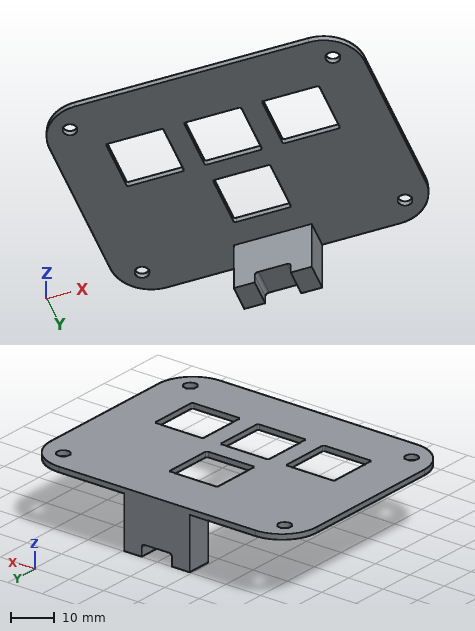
import cadquery as cq

plate_length = 77.15
plate_width = 60.1
plate_thickness = 1.5
plate_corner_radius = 10.0

hole_diameter = 3.4
hole_spacing_x = 64.3
hole_spacing_y = 47.3

window_size = 14.0
window_corner_radius = 0.5
window_pitch = 19.05
lower_row_y = -window_pitch / 2
upper_row_y = window_pitch / 2

total_height = 16.0
block_width = window_pitch
block_depth = 6.95
block_height = total_height - plate_thickness
block_center_y = (plate_width - block_depth) / 2

notch_width = 8.8
notch_height = 3.25
notch_corner_radius = 0.9


def make_plate():
    return (
        cq.Workplane("XY")
        .rect(plate_length, plate_width)
        .extrude(plate_thickness)
        .edges("|Z")
        .fillet(plate_corner_radius)
    )


def make_hole_cutters():
    return (
        cq.Workplane("XY")
        .rect(hole_spacing_x, hole_spacing_y, forConstruction=True)
        .vertices()
        .circle(hole_diameter / 2)
        .extrude(plate_thickness)
    )


def make_window_cutters():
    centers = [(column * window_pitch, lower_row_y) for column in (-1, 0, 1)]
    centers.append((0, upper_row_y))
    return (
        cq.Workplane("XY")
        .pushPoints(centers)
        .rect(window_size, window_size)
        .extrude(plate_thickness)
        .edges("|Z")
        .fillet(window_corner_radius)
    )


def make_block():
    block = (
        cq.Workplane("XY")
        .center(0, block_center_y)
        .rect(block_width, block_depth)
        .extrude(-block_height)
    )
    notch = (
        cq.Workplane("XY", origin=(0, block_center_y, -block_height))
        .rect(notch_width, block_depth)
        .extrude(notch_height)
        .edges("|Y and >Z")
        .fillet(notch_corner_radius)
    )
    return block.cut(notch)


plate = make_plate().cut(make_hole_cutters()).cut(make_window_cutters())
result = plate.union(make_block())